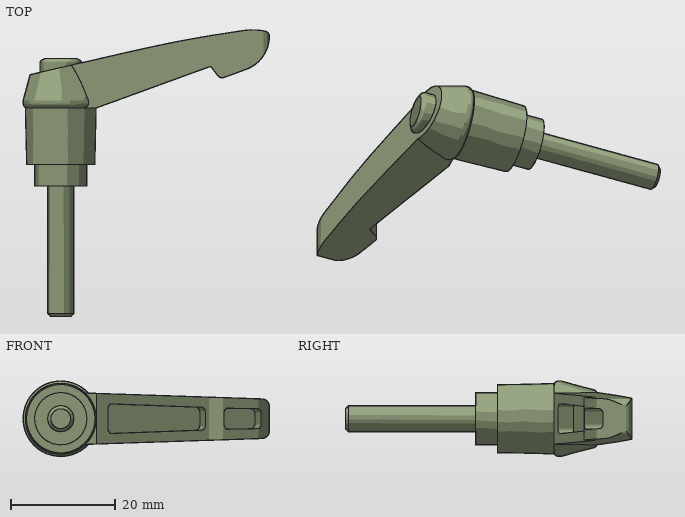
import cadquery as cq
import math


STUD_D = 5.0
STUD_LENGTH = 25.0
STUD_CHAMFER = 0.6
COLLAR_D = 10.0
COLLAR_HEIGHT = 4.15

SLEEVE_BOTTOM_R = 6.55
SLEEVE_TOP_R = 6.8
HUB_BASE_Y = 15.0
RIM_R = 7.245
RIM_ROUND = 0.85
RIM_TOP_Y = 16.4
CAP_DRAFT = 15.0
CAP_END_Y = 25.0

BUTTON_D = 8.0
BUTTON_TOP_Y = 24.5
BUTTON_SIDE_TOP_Y = 23.65
BUTTON_CONE_BASE_Y = 24.15
BUTTON_CONE_BASE_R = 3.7
BUTTON_FLAT_R = 3.0

ARM_END_X = 40.0
TOP_SLOPE = 13.0
TOP_Y_AT_AXIS = 22.75
TOP_STRAIGHT_END_X = 12.0
TOP_ARC_MID = (23.8, 28.02)
TOP_ARC_END = (35.2, 29.89)
NOSE_START = (39.3, 29.7)
NOSE_MID = (39.88, 29.2)
NOSE_END = (ARM_END_X, 28.4)
CHIN_MID = (38.7, 24.8)
CHIN_END = (35.2, 22.26)
UNDER_SLOPE = 20.0
UNDER_START_X = 6.85
NOTCH_TOP_X = 28.75
NOTCH_BOTTOM_X = 30.55
NOTCH_TOP_FILLET = 0.5
NOTCH_BOTTOM_FILLET = 1.0

ARM_HALF_WIDTH_AT_AXIS = 5.1
ARM_SIDE_SLOPE = 0.0332
TIP_CORNER_R = 1.5

ARM_POCKET_X = (9.05, 27.7)
ARM_POCKET_HALF_WIDTHS = (2.88, 2.18)
ARM_POCKET_DEPTH = 3.1
TIP_POCKET_X = (31.3, 38.7)
TIP_POCKET_HALF_WIDTHS = (2.04, 1.9)
TIP_POCKET_DEPTH = 4.4
POCKET_CORNER_R = 0.9
POCKET_OVERRUN = 0.5

CLEAR = 20.0

TAN_TOP = math.tan(math.radians(TOP_SLOPE))
TAN_UNDER = math.tan(math.radians(UNDER_SLOPE))


def top_y(x):
    """Height of the straight sloping top of hub and arm."""
    return TOP_Y_AT_AXIS + x * TAN_TOP


def underside_y(x):
    """Height of the sloping underside between hub and notch."""
    return HUB_BASE_Y + (x - UNDER_START_X) * TAN_UNDER


def chin_y(x):
    """Height of the sloping underside beyond the notch."""
    return CHIN_END[1] + (x - CHIN_END[0]) * TAN_UNDER


def revolve_about_stud(outline):
    return outline.close().revolve(360, (0, 0, 0), (0, 1, 0))


def make_stud():
    radius = STUD_D / 2
    return revolve_about_stud(
        cq.Workplane("XY")
        .moveTo(0, -STUD_LENGTH)
        .lineTo(radius - STUD_CHAMFER, -STUD_LENGTH)
        .lineTo(radius, -STUD_LENGTH + STUD_CHAMFER)
        .lineTo(radius, 0)
        .lineTo(COLLAR_D / 2, 0)
        .lineTo(COLLAR_D / 2, COLLAR_HEIGHT)
        .lineTo(0, COLLAR_HEIGHT)
    )


def make_sleeve():
    return revolve_about_stud(
        cq.Workplane("XY")
        .moveTo(0, COLLAR_HEIGHT)
        .lineTo(SLEEVE_BOTTOM_R, COLLAR_HEIGHT)
        .lineTo(SLEEVE_TOP_R, HUB_BASE_Y)
        .lineTo(0, HUB_BASE_Y)
    )


def make_cap():
    cap_end_r = RIM_R - (CAP_END_Y - RIM_TOP_Y) * math.tan(math.radians(CAP_DRAFT))
    cap = revolve_about_stud(
        cq.Workplane("XY")
        .moveTo(0, HUB_BASE_Y)
        .lineTo(RIM_R - RIM_ROUND, HUB_BASE_Y)
        .radiusArc((RIM_R, HUB_BASE_Y + RIM_ROUND), -RIM_ROUND)
        .lineTo(RIM_R, RIM_TOP_Y)
        .lineTo(cap_end_r, CAP_END_Y)
        .lineTo(0, CAP_END_Y)
    )
    above_slope = (
        cq.Workplane("XY")
        .moveTo(-CLEAR, top_y(-CLEAR))
        .lineTo(CLEAR, top_y(CLEAR))
        .lineTo(CLEAR, top_y(CLEAR) + CLEAR)
        .lineTo(-CLEAR, top_y(CLEAR) + CLEAR)
        .close()
        .extrude(CLEAR, both=True)
    )
    return cap.cut(above_slope)


def make_button():
    side_r = BUTTON_D / 2
    edge_width = side_r - BUTTON_CONE_BASE_R
    edge_height = BUTTON_CONE_BASE_Y - BUTTON_SIDE_TOP_Y
    edge_r = (edge_width**2 + edge_height**2) / (2 * edge_width)
    return revolve_about_stud(
        cq.Workplane("XY")
        .moveTo(0, HUB_BASE_Y)
        .lineTo(side_r, HUB_BASE_Y)
        .lineTo(side_r, BUTTON_SIDE_TOP_Y)
        .radiusArc((BUTTON_CONE_BASE_R, BUTTON_CONE_BASE_Y), -edge_r)
        .lineTo(BUTTON_FLAT_R, BUTTON_TOP_Y)
        .lineTo(0, BUTTON_TOP_Y)
    )


def make_arm():
    straight_end = (TOP_STRAIGHT_END_X, top_y(TOP_STRAIGHT_END_X))
    profile = (
        cq.Workplane("XY")
        .moveTo(0, HUB_BASE_Y)
        .lineTo(0, top_y(0))
        .lineTo(*straight_end)
        .threePointArc(TOP_ARC_MID, TOP_ARC_END)
        .tangentArcPoint(NOSE_START, relative=False)
        .threePointArc(NOSE_MID, NOSE_END)
        .threePointArc(CHIN_MID, CHIN_END)
        .lineTo(NOTCH_BOTTOM_X, chin_y(NOTCH_BOTTOM_X))
        .lineTo(NOTCH_TOP_X, underside_y(NOTCH_TOP_X))
        .lineTo(UNDER_START_X, HUB_BASE_Y)
        .close()
        .extrude(CLEAR, both=True)
    )
    notch_top = cq.selectors.NearestToPointSelector((NOTCH_TOP_X, underside_y(NOTCH_TOP_X), 0))
    notch_bottom = cq.selectors.NearestToPointSelector((NOTCH_BOTTOM_X, chin_y(NOTCH_BOTTOM_X), 0))
    profile = profile.edges(notch_top).fillet(NOTCH_TOP_FILLET)
    profile = profile.edges(notch_bottom).fillet(NOTCH_BOTTOM_FILLET)

    end_half_width = ARM_HALF_WIDTH_AT_AXIS - ARM_END_X * ARM_SIDE_SLOPE
    outline = (
        cq.Workplane("XZ")
        .moveTo(0, -ARM_HALF_WIDTH_AT_AXIS)
        .lineTo(ARM_END_X, -end_half_width)
        .lineTo(ARM_END_X, end_half_width)
        .lineTo(0, ARM_HALF_WIDTH_AT_AXIS)
        .close()
        .extrude(-2 * CLEAR)
        .edges("|Y and >X")
        .fillet(TIP_CORNER_R)
    )
    return profile.intersect(outline)


def make_pocket(x_range, half_widths, depth, height_at):
    """Tapered pocket running along x_range, sunk square to the sloping line given by height_at.

    The cutting body starts slightly outside that line, so it clears the rounded stretches of the underside.
    """
    start_x, end_x = x_range
    slope = math.radians(UNDER_SLOPE)
    length = (end_x - start_x) / math.cos(slope)
    plane = cq.Plane(
        origin=(start_x, height_at(start_x), 0),
        xDir=(math.cos(slope), math.sin(slope), 0),
        normal=(-math.sin(slope), math.cos(slope), 0),
    )
    near, far = half_widths
    return (
        cq.Workplane(plane)
        .workplane(offset=-POCKET_OVERRUN)
        .polyline([(0, -near), (length, -far), (length, far), (0, near)])
        .close()
        .extrude(depth + POCKET_OVERRUN)
        .edges(cq.selectors.ParallelDirSelector(plane.zDir))
        .fillet(POCKET_CORNER_R)
    )


arm_pocket = make_pocket(ARM_POCKET_X, ARM_POCKET_HALF_WIDTHS, ARM_POCKET_DEPTH, underside_y)
tip_pocket = make_pocket(TIP_POCKET_X, TIP_POCKET_HALF_WIDTHS, TIP_POCKET_DEPTH, chin_y)

arm = make_arm().cut(arm_pocket).cut(tip_pocket)
result = make_stud().union(make_sleeve()).union(make_cap()).union(make_button()).union(arm)